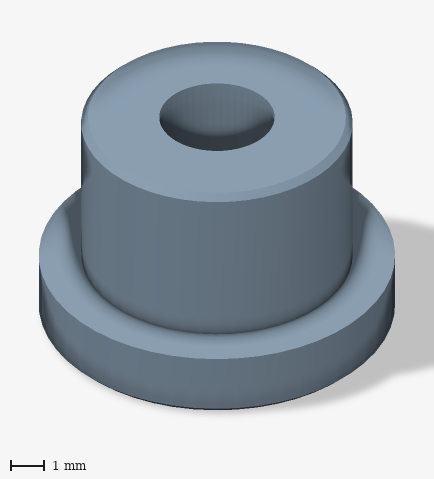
import cadquery as cq

flange_diameter = 10.5
flange_thickness = 2.0
body_diameter = 8.0
total_height = 7.0
bore_diameter = 3.4
edge_chamfer = 0.2


def make_flange():
    """Disc with its lower outer edge chamfered."""
    disc = cq.Workplane("XY").circle(flange_diameter / 2).extrude(flange_thickness)
    return disc.faces("<Z").edges().chamfer(edge_chamfer)


def make_body():
    """Full-height cylinder with its upper outer edge chamfered."""
    cylinder = cq.Workplane("XY").circle(body_diameter / 2).extrude(total_height)
    return cylinder.faces(">Z").edges().chamfer(edge_chamfer)


def make_bore():
    """Cylinder that is removed to leave the through bore."""
    return cq.Workplane("XY").circle(bore_diameter / 2).extrude(total_height)


result = make_flange().union(make_body()).cut(make_bore())